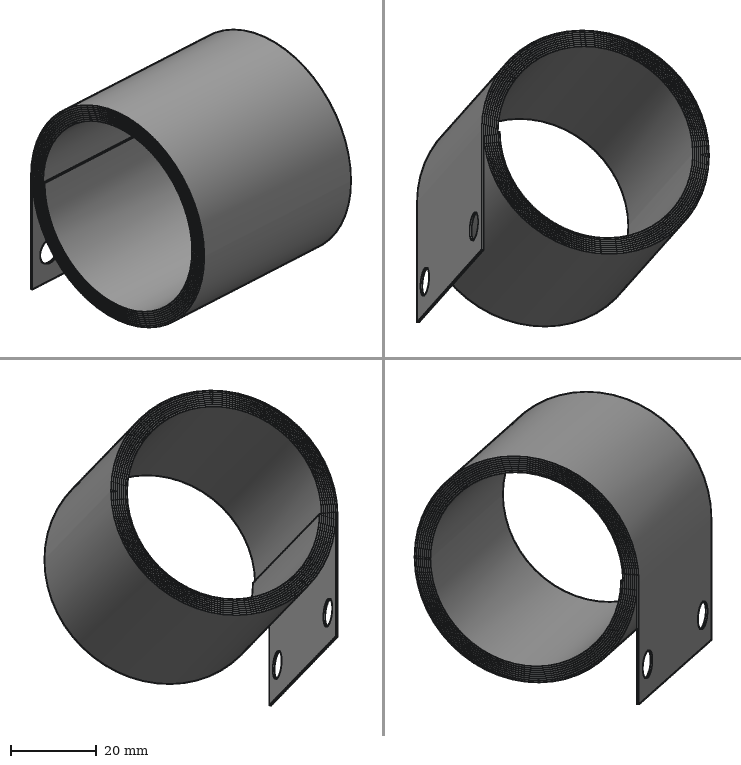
import cadquery as cq

strip_width = 50.0
strip_thickness = 0.49
turn_pitch = 0.5
turns = 8
outer_radius = 27.9
tail_length = 30.0
hole_diameter = 6.6
hole_edge_distance = 6.0
hole_height = 8.0

half_turns = 2 * turns
left_x = -outer_radius


def coil_joints(start_x, first_radius):
    """X positions on Z = 0 where successive half circles of one strip face meet."""
    joints = [start_x]
    for step in range(half_turns):
        radius = first_radius - step * turn_pitch / 2
        direction = 1 if step % 2 == 0 else -1
        joints.append(joints[-1] + direction * 2 * radius)
    return joints


def add_half_circle(outline, start_x, end_x, side):
    """Continue the outline by a half circle above (+1) or below (-1) Z = 0."""
    middle_x = (start_x + end_x) / 2
    radius = abs(end_x - start_x) / 2
    return outline.threePointArc((middle_x, side * radius), (end_x, 0))


def make_strip():
    """Spiral of tangent half circles with a straight tail, as one extruded profile."""
    outer = coil_joints(left_x, outer_radius)
    inner = coil_joints(left_x + strip_thickness, outer_radius - strip_thickness)

    outline = cq.Workplane("XZ").moveTo(left_x, -tail_length).lineTo(left_x, 0)
    for step in range(half_turns):
        side = 1 if step % 2 == 0 else -1
        outline = add_half_circle(outline, outer[step], outer[step + 1], side)
    outline = outline.lineTo(inner[-1], 0)
    for step in reversed(range(half_turns)):
        side = 1 if step % 2 == 0 else -1
        outline = add_half_circle(outline, inner[step + 1], inner[step], side)
    outline = outline.lineTo(inner[0], -tail_length).close()
    return outline.extrude(strip_width / 2, both=True)


def make_hole_cutters():
    """Two pins along X that reach only through the tail."""
    hole_y = strip_width / 2 - hole_edge_distance
    hole_z = hole_height - tail_length
    return (
        cq.Workplane("YZ", origin=(left_x - strip_thickness, 0, 0))
        .pushPoints([(-hole_y, hole_z), (hole_y, hole_z)])
        .circle(hole_diameter / 2)
        .extrude(3 * strip_thickness)
    )


result = make_strip().cut(make_hole_cutters())